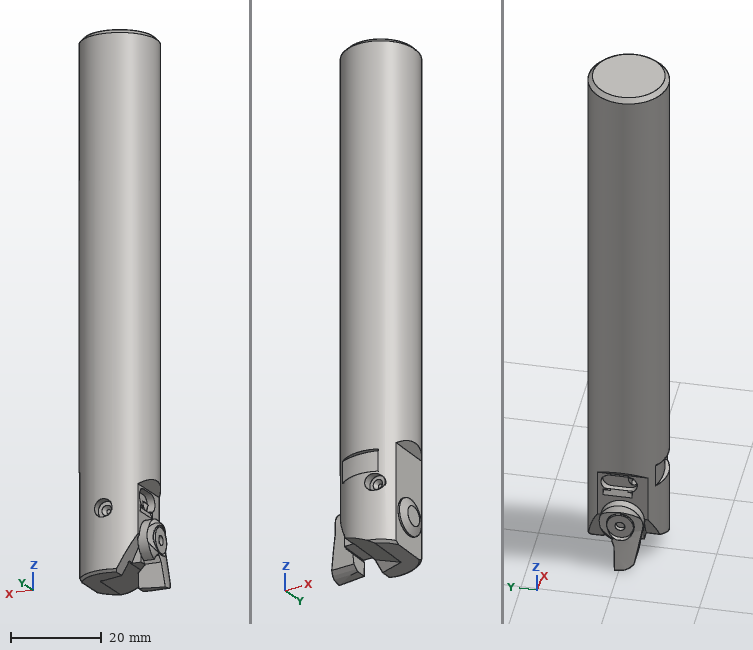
import cadquery as cq
import math


shank_radius = 9.0
total_length = 128.0
shank_bottom = 2.6
top_chamfer = 1.0
bottom_chamfer = 0.6
clearance = 20.0

insert_flat_x = -7.0
insert_flat_top = 23.1
screw_flat_x = 7.3
screw_flat_top = 27.5

relief_top = 11.6
relief_angle = 25.0

roof_edge = (-4.3, 5.9)
roof_angle = 23.5
wall_point = (-4.2, 4.4, 5.8)
wall_normal = (-0.29, -0.90, -0.32)

seat_x = -6.55
pad_left_y = 3.1
pad_right_y = -4.75
pad_bottom = 5.8
pad_depth = 3.5

slot_length = 8.1
slot_width = 4.2
slot_center = (0.8, 20.6)
slot_depth = 1.8
ramp_y = (-2.1, 4.4)
ramp_bottom = 17.1
ramp_depth = 0.6
coolant_diameter = 2.4
coolant_center = (-2.1, 21.1)
coolant_angle = 45.0
coolant_length = 6.0

recess_x = (-5.6, 4.3)
recess_z = (20.1, 25.6)
recess_depth = 1.0
recess_floor_radius = 13.5

plug_z = 17.5
front_plug_x = 3.5
back_plug_x = 0.0
plug_diameter = 4.2
plug_floor_y = 6.8
plug_bore_diameter = 2.4
plug_bore_depth = 1.0
plug_bore_end_diameter = 1.0

axis_z = 11.2
head_radius = 4.9
head_rim_x = -9.05
head_nose = 1.35
tip = (-11.48, 1.0)
leg_outer_radius = 10.1
leg_taper_top = 9.8
leg_lean = 10.0
tip_back_x = -5.0
tip_back_top = 4.0
tip_back_bottom = 0.5
countersink = 0.6

screw_radius = 3.0
screw_end_x = -10.0
screw_hole_diameter = 2.2
screw_hole_depth = 1.0
screw_head_radius = 4.5
screw_head_rim = 0.4
screw_head_height = 1.25
screw_crown_radius = 2.4


def block(x_range, y_range, z_range):
    """Box between the given limits."""
    low = (x_range[0], y_range[0], z_range[0])
    size = (x_range[1] - low[0], y_range[1] - low[1], z_range[1] - low[2])
    return cq.Workplane("XY").box(*size, centered=False).translate(low)


def side_prism(points):
    """Prism along Y across the whole tool, from X, Z points."""
    return cq.Workplane("XZ").polyline(points).close().extrude(clearance, both=True)


def rod(start_x, end_x, radius):
    """Cylinder along the screw axis."""
    plane = cq.Workplane("YZ", origin=(start_x, 0, axis_z))
    return plane.circle(radius).extrude(end_x - start_x)


def turned(points):
    """Solid turned about the screw axis, from X, radius points."""
    outline = cq.Workplane("XZ", origin=(0, 0, axis_z)).polyline(points).close()
    return outline.revolve(360, (0, 0, 0), (1, 0, 0))


def make_insert():
    head_end_x = head_rim_x - head_nose
    head = turned([
        (seat_x, 0),
        (seat_x, head_radius),
        (head_rim_x, head_radius),
        (head_end_x, head_radius - head_nose),
        (head_end_x, 0),
    ])

    lean = math.radians(leg_lean)
    leg_outline = [
        (0, axis_z),
        (1.8, 7.2),
        (1.25, 5.8),
        (tip[1], 0),
        (-1.3, 0.35),
        (-2.2, 0.8),
        (-3.25, 1.7),
        (-head_radius * math.cos(lean), axis_z - head_radius * math.sin(lean)),
    ]
    leg = cq.Workplane("YZ").polyline(leg_outline).close().extrude(-clearance)
    back_profile = [
        (seat_x, axis_z),
        (seat_x, tip_back_top + tip_back_x - seat_x),
        (tip_back_x, tip_back_top),
        (tip_back_x, tip_back_bottom),
        (tip[0], 0),
        (-clearance, 0),
        (-clearance, axis_z),
    ]
    leg = leg.intersect(side_prism(back_profile))

    envelope_top = axis_z + head_radius
    envelope_outline = [
        (0, 0),
        (math.hypot(*tip), 0),
        (leg_outer_radius, leg_taper_top),
        (leg_outer_radius, envelope_top),
        (0, envelope_top),
    ]
    envelope = cq.Workplane("XZ").polyline(envelope_outline).close()
    envelope = envelope.revolve(360, (0, 0, 0), (0, 1, 0))
    body = head.union(leg).intersect(envelope)

    bore = turned([
        (seat_x, 0),
        (seat_x, screw_radius),
        (screw_end_x + countersink, screw_radius),
        (head_end_x, screw_radius + countersink),
        (head_end_x, 0),
    ])
    return body.cut(bore)


def make_screw():
    head_end_x = screw_flat_x + screw_head_height
    screw = turned([
        (screw_end_x, 0),
        (screw_end_x, screw_radius),
        (screw_flat_x, screw_radius),
        (screw_flat_x, screw_head_radius),
        (screw_flat_x + screw_head_rim, screw_head_radius),
        (head_end_x, screw_crown_radius),
        (head_end_x, 0),
    ])
    return screw.cut(rod(screw_end_x, screw_end_x + screw_hole_depth, screw_hole_diameter / 2))


def make_shank():
    shank = cq.Workplane("XY", origin=(0, 0, shank_bottom)).circle(shank_radius)
    shank = shank.extrude(total_length - shank_bottom)
    return shank.faces(">Z").chamfer(top_chamfer).faces("<Z").chamfer(bottom_chamfer)


def flat_cutter(flat_x, flat_top):
    """Everything outside a side flat, with its 45 degree run-out."""
    outer_x = math.copysign(clearance, flat_x)
    run_out_top = flat_top + abs(outer_x - flat_x)
    return side_prism([(flat_x, 0), (flat_x, flat_top), (outer_x, run_out_top), (outer_x, 0)])


def relief_cutter():
    """Sloping relief from the insert flat down to the end face."""
    run = relief_top * math.tan(math.radians(relief_angle))
    return side_prism([
        (insert_flat_x, relief_top),
        (insert_flat_x + run, 0),
        (-clearance, 0),
        (-clearance, relief_top),
    ])


def chip_pocket_cutter():
    """Space below the sloping roof, on the front side of the inclined wall."""
    edge_x, edge_z = roof_edge
    slope = math.tan(math.radians(roof_angle))
    below_roof = side_prism([
        (-clearance, edge_z + slope * (edge_x + clearance)),
        (edge_x + edge_z / slope, 0),
        (-clearance, 0),
    ])
    wall_plane = cq.Plane(origin=wall_point, xDir=(0.9, -0.29, 0), normal=wall_normal)
    beyond_wall = cq.Workplane(wall_plane).rect(4 * clearance, 4 * clearance).extrude(2 * clearance)
    return below_roof.intersect(beyond_wall)


def coolant_cutter():
    """Round-ended slot, ramp below it and an inclined coolant hole."""
    slot = cq.Workplane("YZ", origin=(insert_flat_x, *slot_center))
    slot = slot.slot2D(slot_length, slot_width).extrude(slot_depth)

    ramp_top = slot_center[1] - slot_width / 2
    ramp = cq.Workplane("XZ", origin=(0, ramp_y[1], 0)).polyline([
        (insert_flat_x, ramp_bottom),
        (insert_flat_x + ramp_depth, ramp_top),
        (insert_flat_x, ramp_top),
    ])
    ramp = ramp.close().extrude(ramp_y[1] - ramp_y[0])

    angle = math.radians(coolant_angle)
    direction = cq.Vector(math.cos(angle), 0, -math.sin(angle))
    start = cq.Vector(insert_flat_x + slot_depth, *coolant_center)
    hole = cq.Solid.makeCylinder(coolant_diameter / 2, coolant_length, start, direction)
    return slot.union(ramp).union(cq.Workplane(hole))


def marking_cutter():
    """Box-shaped recess that stops at a convex floor."""
    cutter = block(recess_x, (-clearance, 0), recess_z)
    core_x = sum(recess_x) / 2
    core_y = recess_depth - shank_radius + recess_floor_radius
    core = cq.Workplane("XY").center(core_x, core_y).circle(recess_floor_radius).extrude(total_length)
    return cutter.cut(core)


def plug_cutter(x, side):
    """Counterbored plug hole; side is -1 for the front and 1 for the back."""
    toward_axis = cq.Vector(0, -side, 0)
    mouth = cq.Vector(x, side * clearance, plug_z)
    floor = cq.Vector(x, side * plug_floor_y, plug_z)
    counterbore = cq.Solid.makeCylinder(
        plug_diameter / 2, clearance - plug_floor_y, mouth, toward_axis)
    bore = cq.Solid.makeCone(
        plug_bore_diameter / 2, plug_bore_end_diameter / 2, plug_bore_depth, floor, toward_axis)
    return cq.Workplane(counterbore).union(cq.Workplane(bore))


def make_holder(insert):
    holder = make_shank()
    holder = holder.cut(flat_cutter(insert_flat_x, insert_flat_top))
    holder = holder.cut(flat_cutter(screw_flat_x, screw_flat_top))
    holder = holder.cut(relief_cutter())
    holder = holder.cut(chip_pocket_cutter())
    pad = block((seat_x, seat_x + pad_depth), (pad_right_y, pad_left_y), (pad_bottom, axis_z))
    holder = holder.union(pad)
    holder = holder.cut(coolant_cutter())
    holder = holder.cut(marking_cutter())
    holder = holder.cut(plug_cutter(front_plug_x, -1))
    holder = holder.cut(plug_cutter(back_plug_x, 1))
    holder = holder.cut(rod(-clearance, clearance, screw_radius))
    return holder.cut(insert)


insert = make_insert()
screw = make_screw()
holder = make_holder(insert)

result = cq.Compound.makeCompound([body.solids().val() for body in (holder, insert, screw)])